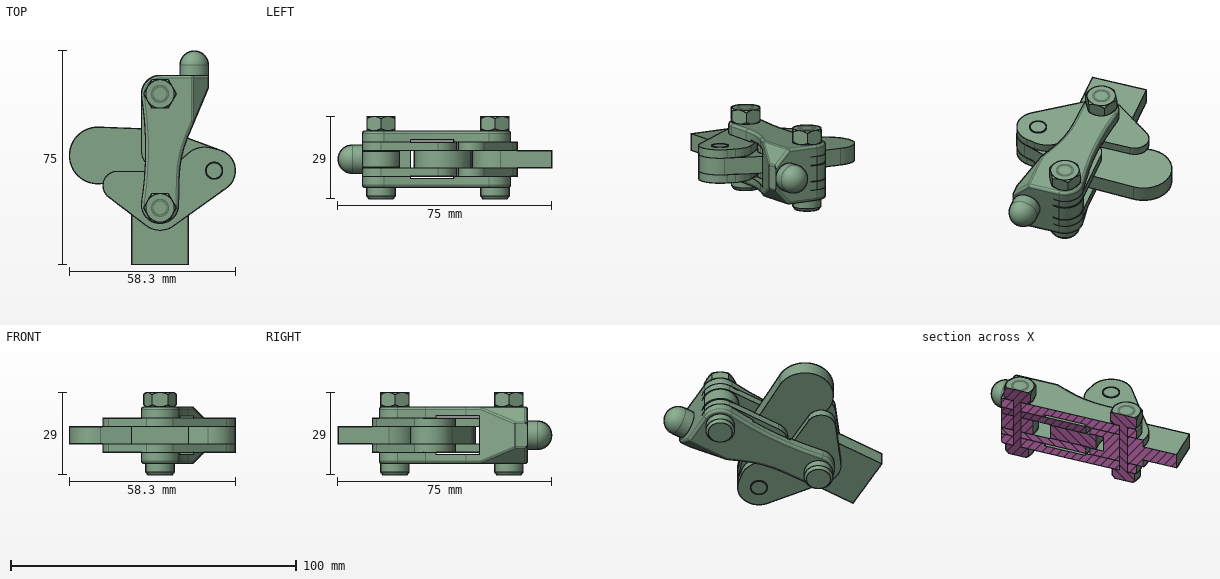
import cadquery as cq
import math


overall_length = 75.0
bar_thickness = 6.0
plate_thickness = 3.0
arm_depth = 19.95
stack_depth = bar_thickness + 2 * plate_thickness

lower_pivot = (0.0, 0.0)
upper_pivot = (0.0, 39.95)
link_pivot = (0.0, 20.0)
lever_pivot = (19.0, 13.05)
pivot_hole_radius = 3.0

bar_width = 19.95
bar_round_center_y = -2.0
base_corner_radius = 7.9
base_horn_center = (-15.0, 7.8)
base_horn_radius = 5.0
base_shoulder_center = (15.6, 12.7)
base_shoulder_radius = 8.6
link_clearance_radius = 7.2

lever_eye_radius = 7.5
lever_lobe_center = (-21.8, 18.4)
lever_lobe_radius = 10.0
lever_bar_clearance_radius = 10.5

link_radius = 6.5
small_chamfer = 0.2

arm_foot_center_y = 1.05
arm_waist_x = -5.0
arm_flank_start_y = 10.7
arm_flank_radius = 38.8
arm_flank_lean = math.radians(1.3)
arm_flank_angle = math.radians(22.8)
arm_bevel_x = 11.5
arm_edge_fillet = 1.0
cavity_depth = 13.5
cavity_bottom_y = 14.5
cavity_top_y = 29.6
tip_x = 12.0
tip_radius = 5.0
tip_straight = 3.5

nut_across_flats = 10.0
nut_height = 5.0
bolt_head_radius = 5.0
bolt_head_height = 4.05
bolt_head_chamfer_height = 1.1
bolt_head_chamfer_width = 0.8
thread_core_radius = 2.5

arm_top_y = upper_pivot[1] + link_radius
arm_right_x = tip_x + tip_radius
bar_end_y = arm_top_y + tip_straight + tip_radius - overall_length


def on_circle(center, radius, angle):
    return (center[0] + radius * math.cos(angle), center[1] + radius * math.sin(angle))


def belt_outline(circles):
    """Closed counter-clockwise outline of arcs joined by tangent lines.

    Each circle is (center, radius); a negative radius makes its arc hollow.
    """
    count = len(circles)
    headings = []
    for i in range(count):
        (x0, y0), r0 = circles[i]
        (x1, y1), r1 = circles[(i + 1) % count]
        distance = math.hypot(x1 - x0, y1 - y0)
        headings.append(math.atan2(y1 - y0, x1 - x0) - math.asin((r1 - r0) / distance))

    outline = None
    for i in range(count):
        center, radius = circles[i]
        start = headings[i - 1] - math.pi / 2
        if radius > 0:
            sweep = (headings[i] - headings[i - 1]) % (2 * math.pi)
        else:
            sweep = -((headings[i - 1] - headings[i]) % (2 * math.pi))
        first = on_circle(center, radius, start)
        middle = on_circle(center, radius, start + sweep / 2)
        last = on_circle(center, radius, start + sweep)
        if outline is None:
            outline = cq.Workplane("XY").moveTo(*first)
        else:
            outline = outline.lineTo(*first)
        outline = outline.threePointArc(middle, last)
    return outline.close()


def slab(outline, thickness, bottom_z):
    return outline.extrude(thickness).translate((0, 0, bottom_z))


def disc(center, radius, depth):
    """Cylinder along Z, centred on Z = 0."""
    return cq.Workplane("XY", origin=(*center, -depth / 2)).circle(radius).extrude(depth)


def pivot_hole(center):
    return disc(center, pivot_hole_radius, 2 * arm_depth)


def make_base():
    """Weld-on bar with a rounded end between two plates."""
    bar_length = bar_round_center_y - bar_end_y
    bar = (
        cq.Workplane("XY")
        .box(bar_width, bar_length, bar_thickness)
        .translate((0, bar_end_y + bar_length / 2, 0))
        .union(disc((0, bar_round_center_y), bar_width / 2, bar_thickness))
    )
    plate_circles = [
        (lower_pivot, base_corner_radius),
        (lever_pivot, lever_eye_radius),
        (base_shoulder_center, base_shoulder_radius),
        (link_pivot, -link_clearance_radius),
        (base_horn_center, base_horn_radius),
    ]
    base = bar
    for bottom_z in (bar_thickness / 2, -stack_depth / 2):
        base = base.union(slab(belt_outline(plate_circles), plate_thickness, bottom_z))
    return base.cut(pivot_hole(lower_pivot)).cut(pivot_hole(lever_pivot))


def make_lever():
    """Bent lever whose underside is hollowed to clear the rounded bar end."""
    outline = belt_outline([
        (lever_lobe_center, lever_lobe_radius),
        (lower_pivot, -lever_bar_clearance_radius),
        (lever_pivot, lever_eye_radius),
        (link_pivot, lever_eye_radius),
    ])
    return slab(outline, bar_thickness, -bar_thickness / 2).cut(pivot_hole(lever_pivot))


def link_outline():
    return belt_outline([(link_pivot, link_radius), (upper_pivot, link_radius)])


def make_link(bottom_z):
    return slab(link_outline(), plate_thickness, bottom_z).cut(pivot_hole(upper_pivot))


def make_spacer():
    spacer = disc(upper_pivot, link_radius, bar_thickness).edges().chamfer(small_chamfer)
    return spacer.cut(pivot_hole(upper_pivot))


def make_lever_pin():
    return disc(lever_pivot, pivot_hole_radius, stack_depth).edges().chamfer(small_chamfer)


def arm_blank():
    """Full-depth arm with bevelled right side and rounded outer rims."""
    half_depth = arm_depth / 2
    foot_y = arm_foot_center_y
    foot_center = (0, foot_y)

    waist_y = (upper_pivot[1] + foot_y) / 2
    half_span = (upper_pivot[1] - foot_y) / 2
    waist_depth = link_radius + arm_waist_x
    hollow_radius = (half_span ** 2 + arm_waist_x ** 2 - link_radius ** 2) / (2 * waist_depth)
    tangent_angle = math.atan2(half_span, hollow_radius - arm_waist_x)
    foot_tangent = on_circle(foot_center, link_radius, math.pi - tangent_angle)
    upper_tangent = on_circle(upper_pivot, link_radius, math.pi + tangent_angle)

    foot_exit = on_circle(foot_center, link_radius, -arm_flank_lean)
    flank_start = (
        foot_exit[0] + (arm_flank_start_y - foot_exit[1]) * math.tan(arm_flank_lean),
        arm_flank_start_y,
    )
    flank_center = on_circle(flank_start, arm_flank_radius, -arm_flank_lean)
    flank_middle_angle = (arm_flank_lean + arm_flank_angle) / 2
    flank_middle = on_circle(flank_center, arm_flank_radius, math.pi - flank_middle_angle)
    flank_end = on_circle(flank_center, arm_flank_radius, math.pi - arm_flank_angle)
    shoulder_y = flank_end[1] + (arm_right_x - flank_end[0]) / math.tan(arm_flank_angle)
    blank = (
        cq.Workplane("XY")
        .workplane(offset=-half_depth)
        .moveTo(*foot_tangent)
        .threePointArc((0, foot_y - link_radius), foot_exit)
        .lineTo(*flank_start)
        .threePointArc(flank_middle, flank_end)
        .lineTo(arm_right_x, shoulder_y)
        .lineTo(arm_right_x, arm_top_y)
        .lineTo(0, arm_top_y)
        .threePointArc(on_circle(upper_pivot, link_radius, 0.75 * math.pi), upper_tangent)
        .threePointArc((arm_waist_x, waist_y), foot_tangent)
        .close()
        .extrude(arm_depth)
    )
    bevel_width = arm_right_x - arm_bevel_x
    for side in (1, -1):
        wedge = (
            cq.Workplane("XZ")
            .moveTo(arm_bevel_x, side * half_depth)
            .lineTo(arm_right_x, side * half_depth)
            .lineTo(arm_right_x, side * (half_depth - bevel_width))
            .close()
            .extrude(-2 * arm_top_y)
        )
        blank = blank.cut(wedge)
    bevels = blank.faces("#Y and (not #X) and (not #Z)")
    rims = blank.faces("<Z or >Z").add(bevels).edges()
    return rims.fillet(arm_edge_fillet)


def make_arm():
    """Forked arm: cheeks joined by a web beside the links, with a round-nosed tip."""
    cavity_length = cavity_top_y - cavity_bottom_y
    cavity_width = 4 * arm_right_x
    cavity = (
        cq.Workplane("XY")
        .box(cavity_width, cavity_length, cavity_depth)
        .translate((0, cavity_bottom_y + cavity_length / 2, 0))
    )
    foot_slot_length = 2 * cavity_bottom_y
    foot_slot = cq.Workplane("XY").box(cavity_width, foot_slot_length, stack_depth)
    link_slot = slab(link_outline(), stack_depth, -stack_depth / 2)
    tip_end_y = arm_top_y + tip_straight
    nose_middle = on_circle((tip_x, tip_end_y), tip_radius, math.pi / 4)
    tip = (
        cq.Workplane("XY")
        .moveTo(tip_x, arm_top_y)
        .lineTo(tip_x + tip_radius, arm_top_y)
        .lineTo(tip_x + tip_radius, tip_end_y)
        .threePointArc(nose_middle, (tip_x, tip_end_y + tip_radius))
        .close()
        .revolve(360, (tip_x, 0), (tip_x, 1))
    )
    return (
        arm_blank()
        .cut(cavity)
        .cut(foot_slot)
        .cut(link_slot)
        .union(tip)
        .cut(pivot_hole(lower_pivot))
        .cut(pivot_hole(upper_pivot))
    )


def make_bolt(center):
    """Round head below, plain shank, hexagonal nut on top with the shank end flush."""
    half_depth = arm_depth / 2
    head_bottom = -half_depth - bolt_head_height
    nut_top = half_depth + nut_height
    head = (
        cq.Workplane("XZ")
        .moveTo(0, head_bottom)
        .lineTo(bolt_head_radius - bolt_head_chamfer_width, head_bottom)
        .lineTo(bolt_head_radius, head_bottom + bolt_head_chamfer_height)
        .lineTo(bolt_head_radius, -half_depth)
        .lineTo(0, -half_depth)
        .close()
        .revolve(360)
    )
    corner_radius = nut_across_flats / math.sqrt(3)
    corner_chamfer = corner_radius - nut_across_flats / 2
    nut = (
        cq.Workplane("XY")
        .workplane(offset=half_depth)
        .polygon(6, 2 * corner_radius)
        .extrude(nut_height)
        .intersect(
            cq.Workplane("XY")
            .workplane(offset=half_depth)
            .circle(corner_radius)
            .extrude(nut_height)
            .edges()
            .chamfer(corner_chamfer)
        )
    )
    def rod(radius):
        return cq.Workplane("XY", origin=(0, 0, -half_depth)).circle(radius).extrude(nut_top + half_depth)

    shank = rod(pivot_hole_radius)
    core = rod(thread_core_radius)
    threaded_shank = shank.cut(core).union(core, clean=False)
    bolt = head.union(nut.cut(shank), clean=False).union(threaded_shank, clean=False)
    return bolt.translate((center[0], center[1], 0))


base = make_base()
lever = make_lever()
links = [make_link(z) for z in (bar_thickness / 2, -stack_depth / 2)]
spacer = make_spacer()
lever_pin = make_lever_pin()
arm = make_arm()
bolts = [make_bolt(pivot) for pivot in (lower_pivot, upper_pivot)]

result = cq.Compound.makeCompound(
    [body.val() for body in (base, lever, *links, spacer, lever_pin, arm, *bolts)]
)